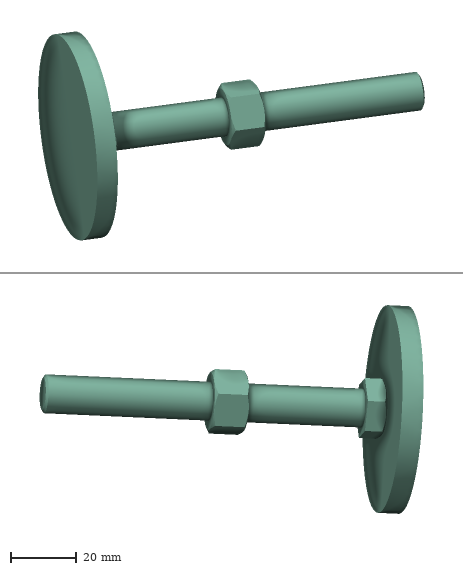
import cadquery as cq
import math

TOTAL_LENGTH = 113.0

PLATE_DIAMETER = 64.0
PLATE_THICKNESS = 6.5

STUD_DIAMETER = 12.0
TIP_CHAMFER_LENGTH = 0.7
TIP_CHAMFER_DEPTH = 1.0

COLLAR_FLATS = 16.7
COLLAR_HEIGHT = 6.4
COLLAR_FACE_DIAMETER = 15.6

NUT_FLATS = 18.0
NUT_HEIGHT = 10.8
NUT_START = 50.0
NUT_FACE_DIAMETER = 17.7

CORNER_CHAMFER_ANGLE = math.radians(30)


def cylinder(diameter, start, length):
    """Round bar along +Y, beginning at y = start."""
    return cq.Workplane("XZ", origin=(0, start, 0)).circle(diameter / 2).extrude(-length)


def chamfered_hexagon(flats, start, height, face_diameter, chamfer_far_end):
    """Hexagonal prism with corners on +X and -X, its corners cut off by a 30 degree cone."""
    corner_radius = flats / math.sqrt(3)
    face_radius = face_diameter / 2
    chamfer_length = (corner_radius - face_radius) * math.tan(CORNER_CHAMFER_ANGLE)
    end = start + height

    prism = cq.Workplane("XZ", origin=(0, start, 0)).polygon(6, 2 * corner_radius).extrude(-height)

    outline = cq.Workplane("XY").moveTo(0, start).lineTo(face_radius, start)
    outline = outline.lineTo(corner_radius, start + chamfer_length)
    if chamfer_far_end:
        outline = outline.lineTo(corner_radius, end - chamfer_length).lineTo(face_radius, end)
    else:
        outline = outline.lineTo(corner_radius, end)
    envelope = outline.lineTo(0, end).close().revolve(360, (0, 0, 0), (0, 1, 0))
    return prism.intersect(envelope)


def make_plate():
    return cylinder(PLATE_DIAMETER, 0, PLATE_THICKNESS)


def make_stud():
    """Stud with a hexagonal collar that rests on the plate and a chamfered free tip."""
    radius = STUD_DIAMETER / 2
    shank = (
        cq.Workplane("XY")
        .moveTo(0, PLATE_THICKNESS)
        .lineTo(radius, PLATE_THICKNESS)
        .lineTo(radius, TOTAL_LENGTH - TIP_CHAMFER_LENGTH)
        .lineTo(radius - TIP_CHAMFER_DEPTH, TOTAL_LENGTH)
        .lineTo(0, TOTAL_LENGTH)
        .close()
        .revolve(360, (0, 0, 0), (0, 1, 0))
    )
    collar = chamfered_hexagon(
        COLLAR_FLATS, PLATE_THICKNESS, COLLAR_HEIGHT, COLLAR_FACE_DIAMETER, chamfer_far_end=False
    )
    return shank.union(collar)


def make_nut():
    """Lock nut, chamfered on both faces, with a bore that fits the stud."""
    body = chamfered_hexagon(NUT_FLATS, NUT_START, NUT_HEIGHT, NUT_FACE_DIAMETER, chamfer_far_end=True)
    return body.cut(cylinder(STUD_DIAMETER, NUT_START, NUT_HEIGHT))


plate = make_plate()
stud = make_stud()
nut = make_nut()

result = cq.Compound.makeCompound([plate.val(), stud.val(), nut.val()])